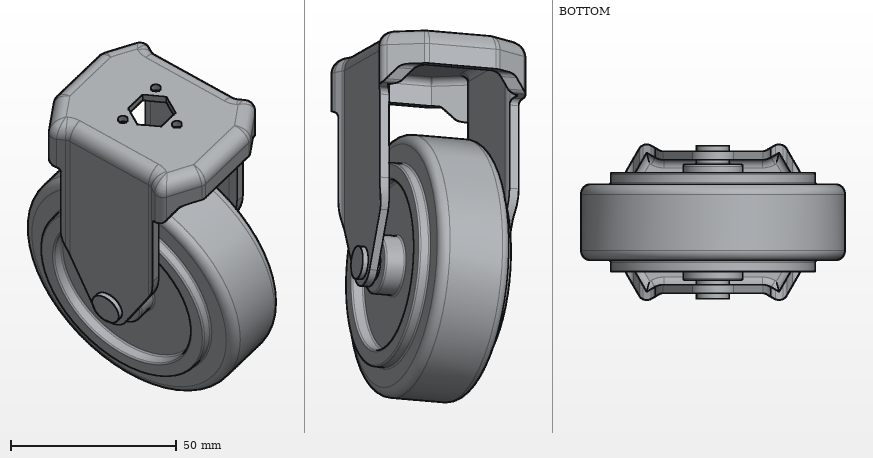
import cadquery as cq
import math


total_height = 108.0
wheel_dia = 80.0
top_z = total_height - wheel_dia / 2

tread_half_width = 11.6
tread_fillet = 3.0
rim_dia = 62.0
rim_half_width = 15.0
recess_dia = 52.0
web_half_width = 11.0
collar_dia = 18.0
collar_half_width = 17.5
hub_fillet = 0.49

pin_dia = 10.0
pin_half_length = 23.2

sheet = 2.6
fork_half_length = 28.5
plate_half_depth = 21.5
end_wall_half_width = 11.6
flare_start_x = 15.7
bend_angle = 30.0
bend_radius = 2.7
top_fillet = 5.0

arm_half_width = 17.5
skirt_depth = 11.1
notch_top_x = 24.6
notch_bottom_x = 21.9
notch_bottom_depth = 16.2
shoulder_depth = 17.8
notch_fillet = 2.0
arm_tip_radius = 7.0
taper_angle = 28.0
taper_fillet = 20.0

hex_sides = 6
hex_half_angle = 180 / hex_sides
hex_across_flats = 12.5
small_hole_dia = 3.0
small_hole_circle_radius = 9.5
small_hole_count = 3

reach = 37.8
tolerance = 0.01


def sin_deg(angle):
    return math.sin(math.radians(angle))


def cos_deg(angle):
    return math.cos(math.radians(angle))


def tan_deg(angle):
    return math.tan(math.radians(angle))


def y_cylinder(dia, half_width):
    return cq.Workplane("XZ", origin=(0, half_width, 0)).circle(dia / 2).extrude(2 * half_width)


def fillet_circles(body, dias, radius):
    """Round every circular edge that has one of the given diameters."""

    def is_wanted(edge):
        if edge.geomType() != "CIRCLE":
            return False
        return any(abs(2 * edge.radius() - dia) < tolerance for dia in dias)

    return body.edges().filter(is_wanted).fillet(radius)


def make_wheel():
    tread = y_cylinder(wheel_dia, tread_half_width)
    rim = y_cylinder(rim_dia, rim_half_width)
    recesses = y_cylinder(recess_dia, rim_half_width).cut(y_cylinder(recess_dia, web_half_width))
    collar = y_cylinder(collar_dia, collar_half_width)
    wheel = tread.union(rim).cut(recesses).union(collar)
    wheel = fillet_circles(wheel, [wheel_dia], tread_fillet)
    return fillet_circles(wheel, [rim_dia, recess_dia, collar_dia], hub_fillet)


def add_pin(wheel):
    """Add the pin, with a fillet where it leaves the collar on the -Y side."""

    def is_pin_root(edge):
        on_collar_face = abs(edge.Center().y + collar_half_width) < tolerance
        return on_collar_face and abs(2 * edge.radius() - pin_dia) < tolerance

    body = wheel.union(y_cylinder(pin_dia, pin_half_length))
    return body.edges("%CIRCLE").filter(is_pin_root).fillet(hub_fillet)


def both_sides(right_half):
    """Close a run of points at +X with its mirror image at -X."""
    return right_half + [(-x, other) for x, other in reversed(right_half)]


def make_prism(outline, inset):
    base = cq.Workplane("XY", origin=(0, 0, -reach))
    return base.polyline(outline).close().extrude(reach + top_z - inset)


def round_top(form, inset):
    return form.faces(">Z").edges().fillet(top_fillet - inset)


def make_end_form(inset):
    """Prism inside the end walls and the slanted walls that run on from them."""
    end_x = fork_half_length - inset
    fold_y = end_wall_half_width - inset * tan_deg(bend_angle / 2)
    far_x = end_x - (reach - fold_y) * tan_deg(bend_angle)
    outline = both_sides([(far_x, -reach), (end_x, -fold_y), (end_x, fold_y), (far_x, reach)])
    form = make_prism(outline, inset)
    form = form.edges("|Z").edges("<X or >X").fillet(bend_radius - inset)
    return round_top(form, inset)


def make_side_form(inset):
    """Prism between the two arm plates, which flare outwards past the arms."""
    plate_y = plate_half_depth - inset
    fold_x = flare_start_x + inset * tan_deg(bend_angle / 2)
    far_y = plate_y + (reach - fold_x) * tan_deg(bend_angle)
    outline = both_sides([(fold_x, -plate_y), (reach, -far_y), (reach, far_y), (fold_x, plate_y)])
    form = make_prism(outline, inset)
    form = form.edges("|Z").edges("not(<X or >X)").fillet(bend_radius + inset)
    return round_top(form, inset)


def make_folded_sheet():
    """Hollow cap whose walls still reach straight down on every side."""
    outer = make_end_form(0).intersect(make_side_form(0))
    outer = outer.edges("|Z").edges("<Y or >Y").fillet(bend_radius)
    inner = make_end_form(sheet).intersect(make_side_form(sheet))
    return outer.cut(inner)


def fillet_corners(block, corners, radius):
    """Round the edges along Y at the given (x, z) corners and at their mirror images."""

    def is_wanted(edge):
        middle = edge.Center()
        return any(math.hypot(abs(middle.x) - x, middle.z - z) < tolerance for x, z in corners)

    return block.edges("|Y").filter(is_wanted).fillet(radius)


def make_silhouette():
    """Block along Y with the outline of the stepped skirt and the tapered arms."""
    apex = (0, -arm_tip_radius / sin_deg(taper_angle))
    taper_top_z = (arm_half_width * cos_deg(taper_angle) - arm_tip_radius) / sin_deg(taper_angle)
    taper_top = (arm_half_width, taper_top_z)
    notch = [
        (arm_half_width, top_z - shoulder_depth),
        (notch_bottom_x, top_z - notch_bottom_depth),
        (notch_top_x, top_z - skirt_depth),
    ]
    skirt_edge = [(reach, top_z - skirt_depth), (reach, top_z)]
    outline = [apex] + both_sides([taper_top] + notch + skirt_edge)
    block = cq.Workplane("XZ").polyline(outline).close().extrude(reach, both=True)
    block = fillet_corners(block, [apex], arm_tip_radius)
    block = fillet_corners(block, [taper_top], taper_fillet)
    return fillet_corners(block, notch, notch_fillet)


def make_top_holes():
    """Hexagon with two corners on the Y axis, ringed by small round holes."""
    base = cq.Workplane("XY", origin=(0, 0, top_z - sheet))
    hexagon = base.polygon(hex_sides, hex_across_flats / cos_deg(hex_half_angle)).extrude(sheet)
    hexagon = hexagon.rotate((0, 0, 0), (0, 0, 1), hex_half_angle)
    small_holes = (
        base.polarArray(small_hole_circle_radius, 0, 360, small_hole_count)
        .circle(small_hole_dia / 2)
        .extrude(sheet)
    )
    return hexagon.union(small_holes)


def make_fork():
    return make_folded_sheet().intersect(make_silhouette()).cut(make_top_holes())


result = make_fork().union(add_pin(make_wheel()))